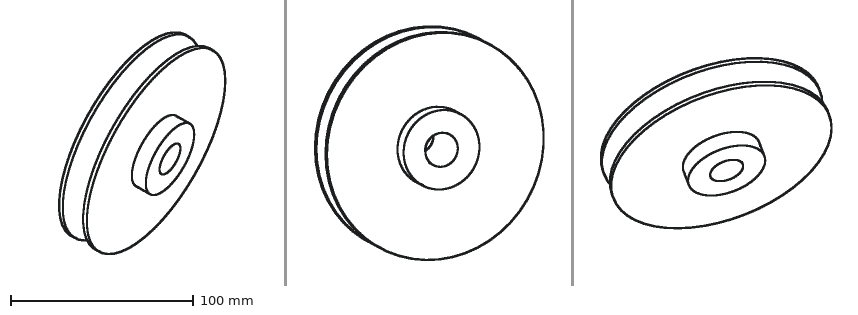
import cadquery as cq

WHEEL_DIAMETER = 127.0
WHEEL_WIDTH = 19.05
HUB_DIAMETER = 44.45
HUB_LENGTH = 38.1
BORE_DIAMETER = 19.05
RIM_LIP_WIDTH = 2.54
GROOVE_RADIUS = WHEEL_WIDTH / 2 - RIM_LIP_WIDTH


def cylinder_along_x(diameter, length):
    """Solid cylinder on the X axis, centred on the origin."""
    return cq.Workplane("YZ").circle(diameter / 2).extrude(length / 2, both=True)


def rope_groove():
    """Ring of round section, centred on the wheel rim, that cuts a half-round groove."""
    return (
        cq.Workplane("XY")
        .center(0, WHEEL_DIAMETER / 2)
        .circle(GROOVE_RADIUS)
        .revolve(360, (0, -WHEEL_DIAMETER / 2), (1, -WHEEL_DIAMETER / 2))
    )


wheel = cylinder_along_x(WHEEL_DIAMETER, WHEEL_WIDTH).cut(rope_groove())
hub = cylinder_along_x(HUB_DIAMETER, HUB_LENGTH)
bore = cylinder_along_x(BORE_DIAMETER, HUB_LENGTH)

result = wheel.union(hub).cut(bore)